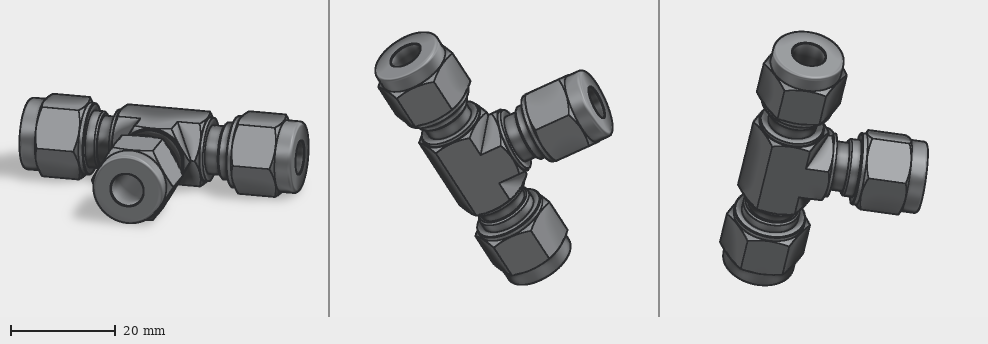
import cadquery as cq
import math

arm_length = 26.9

nut_flats = 14.0
nut_hex_start = 15.05
nut_hex_end = 23.7
nut_collar_radius = 6.9
nut_end_fillet = 0.7
nut_flange_start = 14.1
nut_flange_chamfer = 0.15

thread_radius = 5.5
thread_start = 11.95
thread_chamfer = 0.4
neck_radius = 4.7

body_flats = 12.7
body_hex_end = 8.65
body_hex_face_radius = 6.3
body_shoulder_radius = 6.1
body_shoulder_end = 9.3

hex_chamfer_angle = math.radians(30)

bore_radius = 2.4
socket_radius = 3.2
socket_start = thread_start
socket_chamfer = 0.15


def cylinder(radius, start, end):
    """Solid cylinder on the Z axis between two heights."""
    return cq.Workplane("XY").workplane(offset=start).circle(radius).extrude(end - start)


def hexagon(flats, start, end, start_radius, end_radius):
    """Hexagonal prism on the Z axis with corners on +X and -X.

    A cone trims the corners down to the given radius on each end plane;
    None leaves that end untrimmed.
    """
    corner_radius = flats / 2 / math.cos(math.pi / 6)
    prism = (
        cq.Workplane("XY").workplane(offset=start)
        .polygon(6, 2 * corner_radius)
        .extrude(end - start)
    )
    start_radius = start_radius or corner_radius
    end_radius = end_radius or corner_radius
    start_drop = (corner_radius - start_radius) * math.tan(hex_chamfer_angle)
    end_drop = (corner_radius - end_radius) * math.tan(hex_chamfer_angle)
    profile = (
        cq.Workplane("XZ")
        .moveTo(0, start)
        .lineTo(start_radius, start)
    )
    if start_drop > 0:
        profile = profile.lineTo(corner_radius, start + start_drop)
    profile = profile.lineTo(corner_radius, end - end_drop)
    if end_drop > 0:
        profile = profile.lineTo(end_radius, end)
    envelope = profile.lineTo(0, end).close().revolve(360, (0, 0, 0), (0, 1, 0))
    return prism.intersect(envelope)


def make_nut():
    collar = cylinder(nut_collar_radius, nut_flange_start, arm_length)
    collar = collar.faces(">Z").edges().fillet(nut_end_fillet)
    collar = collar.faces("<Z").edges().chamfer(nut_flange_chamfer)
    grip = hexagon(nut_flats, nut_hex_start, nut_hex_end, nut_collar_radius, nut_collar_radius)
    return collar.union(grip)


def make_stem():
    neck = cylinder(neck_radius, 0, thread_start)
    thread = cylinder(thread_radius, thread_start, nut_hex_start)
    return neck.union(thread.faces("<Z").edges().chamfer(thread_chamfer))


def make_arm():
    """One complete solid arm running up the Z axis."""
    body = hexagon(body_flats, 0, body_hex_end, None, body_hex_face_radius)
    shoulder = cylinder(body_shoulder_radius, 0, body_shoulder_end)
    return body.union(shoulder).union(make_stem()).union(make_nut())


def make_passage():
    """Flow bore, tube socket and socket lead-in of one arm."""
    bore = cylinder(bore_radius, 0, arm_length)
    socket = cylinder(socket_radius, socket_start, arm_length)
    lead_in = (
        cq.Workplane("XY").workplane(offset=arm_length)
        .circle(socket_radius + socket_chamfer)
        .extrude(-socket_chamfer, taper=45)
    )
    return bore.union(socket).union(lead_in)


def place_arms(arm):
    """Copy an arm from +Z to the -Y, +X and -X directions, keeping hexagon corners in the XY plane."""
    branch = arm.rotate((0, 0, 0), (1, 0, 0), 90)
    right_run = branch.rotate((0, 0, 0), (0, 0, 1), 90)
    left_run = branch.rotate((0, 0, 0), (0, 0, 1), -90)
    return right_run.union(left_run).union(branch)


result = place_arms(make_arm()).cut(place_arms(make_passage())).clean()